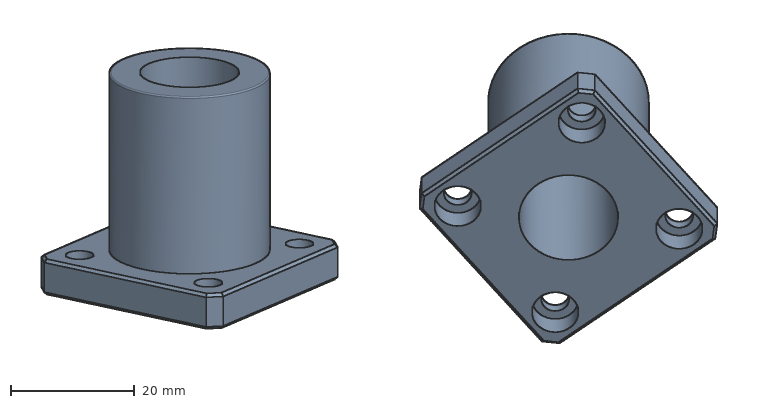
import cadquery as cq
import math

total_height = 36.0
flange_width = 36.0
flange_thickness = 6.0
corner_cut = 2.0
flange_chamfer = 0.5

sleeve_diameter = 26.0
bore_diameter = 16.0
sleeve_rounding = 0.25

bolt_circle_diameter = 36.0
hole_spacing = bolt_circle_diameter / math.sqrt(2)
hole_diameter = 4.5
counterbore_diameter = 7.5
counterbore_depth = 4.1


def make_flange():
    """Square plate with cut corners and chamfered rims, its bottom on Z = 0."""
    plate = cq.Workplane("XY").box(
        flange_width, flange_width, flange_thickness, centered=(True, True, False)
    )
    plate = plate.edges("|Z").chamfer(corner_cut)
    return plate.faces("<Z or >Z").edges().chamfer(flange_chamfer)


def make_sleeve():
    """Solid cylinder of full height with a rounded top rim."""
    cylinder = cq.Workplane("XY").circle(sleeve_diameter / 2).extrude(total_height)
    return cylinder.faces(">Z").edges().fillet(sleeve_rounding)


def make_bore():
    """Cutter for the central through bore."""
    return cq.Workplane("XY").circle(bore_diameter / 2).extrude(total_height)


def make_mounting_holes():
    """Cutter for the four stepped bolt holes in the flange."""
    pattern = cq.Workplane("XY").rect(hole_spacing, hole_spacing, forConstruction=True).vertices()
    holes = pattern.circle(hole_diameter / 2).extrude(flange_thickness)
    counterbores = pattern.circle(counterbore_diameter / 2).extrude(counterbore_depth)
    return holes.union(counterbores)


body = make_flange().union(make_sleeve())
result = body.cut(make_bore()).cut(make_mounting_holes())